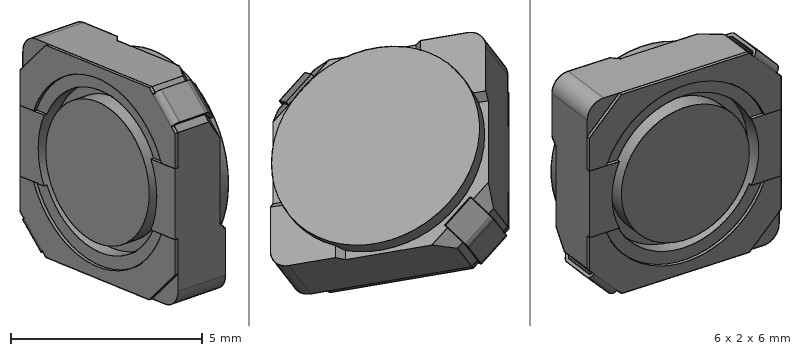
import cadquery as cq
import math

side = 6.0
total_depth = 2.0
corner_cut = 1.0
corner_radius = 0.51

sheet = 0.1
body_depth = 1.6
pad_depth = 1.8
slope_start = 1.2

rear_disc_radius = 2.9
terminal_bore_radius = 2.665
groove_outer_radius = 2.29
groove_inner_radius = 2.0
groove_depth = 0.54

band_half_height = 1.0
pad_edge = 1.18

clip_width = 1.0
clip_standoff = 0.18
base_bend_radius = 0.18
lip_bend_radius = 0.2
lip_bend_start = 1.11
lip_end_depth = 1.765

half = side / 2
cut_distance = (side - corner_cut) / math.sqrt(2)
clip_distance = cut_distance + clip_standoff


def front_plane(depth):
    """Plane parallel to the front face, with local x = X and local y = Z."""
    return cq.Workplane("XZ", origin=(0, depth - total_depth / 2, 0))


def cylinder(radius, start, end):
    return front_plane(start).circle(radius).extrude(start - end)


def box(width, height, start, end):
    return front_plane(start).rect(width, height).extrude(start - end)


def diagonal_plane(x_sign, z_sign):
    """Section through a corner: local x points outward, local y is depth."""
    return cq.Workplane(cq.Plane(
        origin=(0, -total_depth / 2, 0),
        xDir=(x_sign, 0, z_sign),
        normal=(-z_sign, 0, x_sign),
    ))


def cut_corners(body, selector):
    """Cut the Y edges picked by the selector at 45 degrees."""
    return body.edges("|Y").edges(selector).chamfer(corner_cut)


def make_pad(angle):
    """Raised square pad at a rounded corner, with 45 degree ramps on its two inner sides."""
    ramp = pad_depth - body_depth
    width = half - pad_edge + ramp
    center = half - width / 2
    pad = front_plane(slope_start).center(-center, center).rect(width, width).extrude(slope_start - pad_depth)
    pad = pad.faces(">Y").edges(">X or <Z").chamfer(ramp)
    return pad.rotate((0, 0, 0), (0, 1, 0), angle)


def make_blank():
    """Square block with two opposite corners cut and the two padded corners rounded."""
    blank = box(side, side, 0, body_depth)
    blank = cut_corners(blank, ">(1,0,1) or <(1,0,1)")
    for angle in (0, 180):
        blank = blank.union(make_pad(angle))
    return blank.edges("|Y").edges(">(-1,0,1) or <(-1,0,1)").fillet(corner_radius)


def make_corner_relief(sign):
    """45 degree wedge removed from the back of a cut corner."""
    height = body_depth - slope_start
    return (
        diagonal_plane(sign, sign)
        .polyline([
            (cut_distance, slope_start),
            (cut_distance, body_depth),
            (cut_distance - height, body_depth),
        ])
        .close()
        .extrude(half, both=True)
    )


def make_terminal_seat():
    """Shallow front recess above and below the band, around the groove."""
    seat = box(side, side, 0, sheet)
    seat = seat.cut(box(side, 2 * band_half_height, 0, sheet))
    return seat.cut(cylinder(groove_outer_radius, 0, sheet))


def make_groove():
    groove = cylinder(groove_outer_radius, 0, groove_depth)
    return groove.cut(cylinder(groove_inner_radius, 0, groove_depth))


def make_housing():
    body = make_blank()
    for sign in (1, -1):
        body = body.cut(make_corner_relief(sign))
    body = body.union(cylinder(rear_disc_radius, body_depth, total_depth))
    return body.cut(make_terminal_seat()).cut(make_groove())


def make_plate():
    """Flat sheet above the band, following the housing outline with two cut corners."""
    plate_height = half - band_half_height
    plate = front_plane(0).center(0, half - plate_height / 2).rect(side, plate_height).extrude(-sheet)
    plate = cut_corners(plate, ">Z")
    return plate.cut(cylinder(terminal_bore_radius, 0, sheet))


def make_clip():
    """Strip bent from the plate along the corner, then leaning inward at 45 degrees."""
    slant = math.sqrt(0.5)
    half_slant = math.radians(22.5)

    base_x = clip_distance - base_bend_radius
    base_inner = base_bend_radius - sheet
    lip_x = clip_distance - lip_bend_radius
    lip_inner = lip_bend_radius - sheet
    root = cut_distance - sheet

    def base_bend(radius):
        return base_x + radius * slant, base_bend_radius - radius * slant

    def lip_bend(radius, angle):
        return lip_x + radius * math.cos(angle), lip_bend_start + radius * math.sin(angle)

    bend_end = math.radians(45)
    outer_x, outer_y = lip_bend(lip_bend_radius, bend_end)
    tip_x = outer_x - (lip_end_depth - outer_y)
    return (
        diagonal_plane(1, 1)
        .workplane(offset=-clip_width / 2)
        .moveTo(root, 0)
        .lineTo(base_x, 0)
        .threePointArc(base_bend(base_bend_radius), (clip_distance, base_bend_radius))
        .lineTo(clip_distance, lip_bend_start)
        .threePointArc(lip_bend(lip_bend_radius, half_slant), (outer_x, outer_y))
        .lineTo(tip_x, lip_end_depth)
        .lineTo(tip_x - sheet * slant, lip_end_depth - sheet * slant)
        .lineTo(*lip_bend(lip_inner, bend_end))
        .threePointArc(lip_bend(lip_inner, half_slant), (clip_distance - sheet, lip_bend_start))
        .lineTo(clip_distance - sheet, base_bend_radius)
        .threePointArc(base_bend(base_inner), (base_x, sheet))
        .lineTo(root, sheet)
        .close()
        .extrude(clip_width)
    )


def make_terminal(angle):
    """Plate and clip in one piece, turned about the Y axis."""
    terminal = make_plate().union(make_clip())
    return terminal.rotate((0, 0, 0), (0, 1, 0), angle)


housing = make_housing()
terminals = [make_terminal(angle) for angle in (0, 180)]

result = cq.Compound.makeCompound([housing.val(), *[terminal.val() for terminal in terminals]])